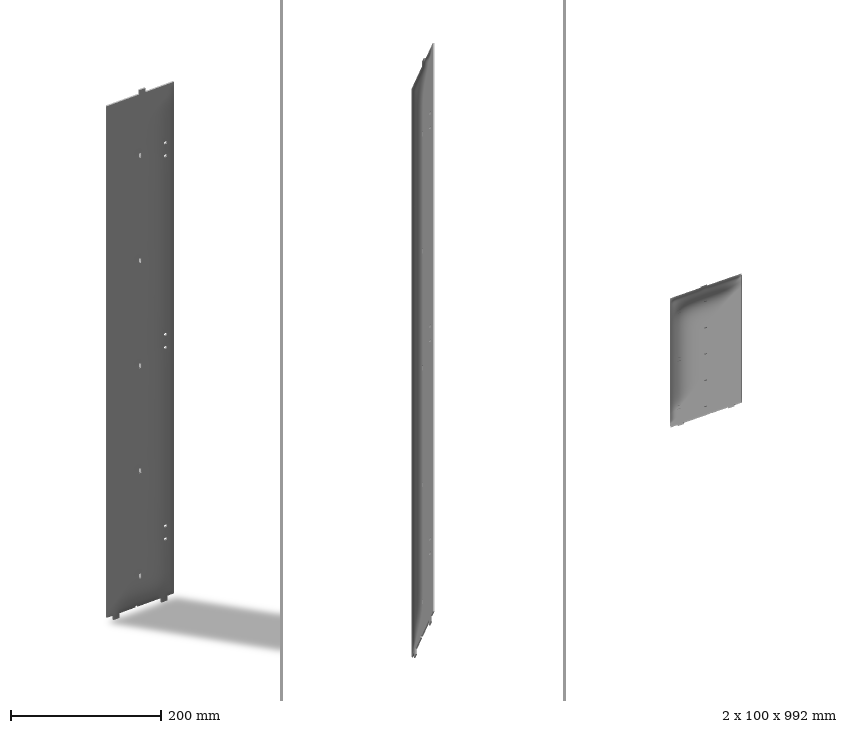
import cadquery as cq

full_height = 992.0
width = 100.0
thickness = 2.0

tab_width = 9.0
top_tab_height = 8.0
bottom_tab_height = 9.0
top_tab_y = 3.0
bottom_tab_y = 36.0

slot_width = 3.0
slot_height = 9.0
slot_count = 5
slot_pitch = 200.0
lowest_slot_z = -431.0

hole_diameter = 5.0
hole_y = 38.0
hole_spacing = 25.0
pair_count = 3
pair_pitch = 365.0
middle_pair_z = 0.0

notch_width = 3.0
notch_depth = 3.0
notch_y = -6.0

bottom_z = -full_height / 2
sheet_bottom_z = bottom_z + bottom_tab_height
sheet_top_z = full_height / 2 - top_tab_height


def block(y_center, y_size, z_low, z_high):
    """Full-thickness block, centred on X = 0, between two heights."""
    return (
        cq.Workplane("XY")
        .box(thickness, y_size, z_high - z_low)
        .translate((0, y_center, (z_low + z_high) / 2))
    )


def round_hole(z_center):
    """Cutter for one round hole through the sheet."""
    return (
        cq.Workplane("YZ")
        .center(hole_y, z_center)
        .circle(hole_diameter / 2)
        .extrude(thickness, both=True)
    )


result = block(0, width, sheet_bottom_z, sheet_top_z)
result = result.union(block(top_tab_y, tab_width, sheet_top_z, full_height / 2))
for tab_y in (-bottom_tab_y, bottom_tab_y):
    result = result.union(block(tab_y, tab_width, bottom_z, sheet_bottom_z))

for index in range(slot_count):
    slot_z = lowest_slot_z + index * slot_pitch
    result = result.cut(block(0, slot_width, slot_z - slot_height / 2, slot_z + slot_height / 2))

for index in range(pair_count):
    pair_z = middle_pair_z + (index - (pair_count - 1) / 2) * pair_pitch
    for side in (-1, 1):
        result = result.cut(round_hole(pair_z + side * hole_spacing / 2))

result = result.cut(block(notch_y, notch_width, sheet_bottom_z, sheet_bottom_z + notch_depth))